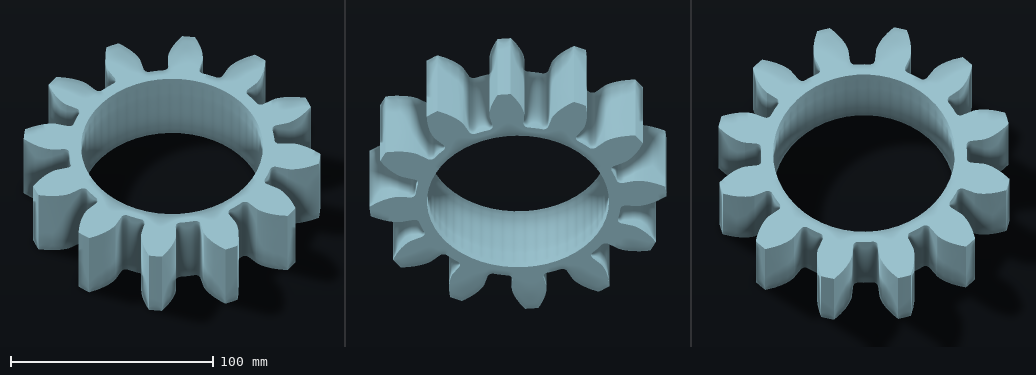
import cadquery as cq
import math

tooth_count = 12
module = 10.5
pressure_angle = math.radians(20)
face_width = 40.0
bore_diameter = 90.0
dedendum_factor = 1.157
root_fillet_radius = 2.5
flank_point_count = 9

pitch_radius = module * tooth_count / 2
base_radius = pitch_radius * math.cos(pressure_angle)
tip_radius = pitch_radius + module
root_radius = pitch_radius - dedendum_factor * module
tooth_pitch_angle = 2 * math.pi / tooth_count


def involute(angle):
    return math.tan(angle) - angle


base_half_angle = tooth_pitch_angle / 4 + involute(pressure_angle)


def polar(radius, angle):
    return (radius * math.cos(angle), radius * math.sin(angle))


def flank_points(center_angle, side):
    """Points from base circle to tip on one flank; side is -1 (clockwise) or +1."""
    roll_at_tip = math.sqrt((tip_radius / base_radius) ** 2 - 1)
    points = []
    for i in range(flank_point_count):
        roll = roll_at_tip * i / (flank_point_count - 1)
        radius = base_radius * math.hypot(1, roll)
        half_angle = base_half_angle - (roll - math.atan(roll))
        points.append(polar(radius, center_angle + side * half_angle))
    return points


def add_tooth(outline, center_angle):
    """Draw one tooth counterclockwise from its root, then the root to the next tooth."""
    rising_flank = flank_points(center_angle, -1)
    falling_flank = flank_points(center_angle, 1)[::-1]
    next_root_angle = center_angle + tooth_pitch_angle - base_half_angle
    gap_center_angle = center_angle + tooth_pitch_angle / 2
    outline = outline.lineTo(*rising_flank[0])
    outline = outline.spline(rising_flank[1:], includeCurrent=True)
    outline = outline.threePointArc(polar(tip_radius, center_angle), falling_flank[0])
    outline = outline.spline(falling_flank[1:], includeCurrent=True)
    outline = outline.lineTo(*polar(root_radius, center_angle + base_half_angle))
    return outline.threePointArc(
        polar(root_radius, gap_center_angle), polar(root_radius, next_root_angle)
    )


def make_gear_blank():
    first_center = tooth_pitch_angle / 2
    outline = cq.Workplane("XY").moveTo(
        *polar(root_radius, first_center - base_half_angle)
    )
    for tooth in range(tooth_count):
        outline = add_tooth(outline, first_center + tooth * tooth_pitch_angle)
    return outline.close().extrude(face_width)


def round_roots(gear):
    """Fillet the corners where the radial flank bases meet the root circle."""
    corner_limit = (root_radius + base_radius) / 2
    corners = gear.edges("|Z").filter(
        lambda edge: math.hypot(edge.Center().x, edge.Center().y) < corner_limit
    )
    return corners.fillet(root_fillet_radius)


def cut_bore(gear):
    return gear.cut(cq.Workplane("XY").circle(bore_diameter / 2).extrude(face_width))


result = cut_bore(round_roots(make_gear_blank()))